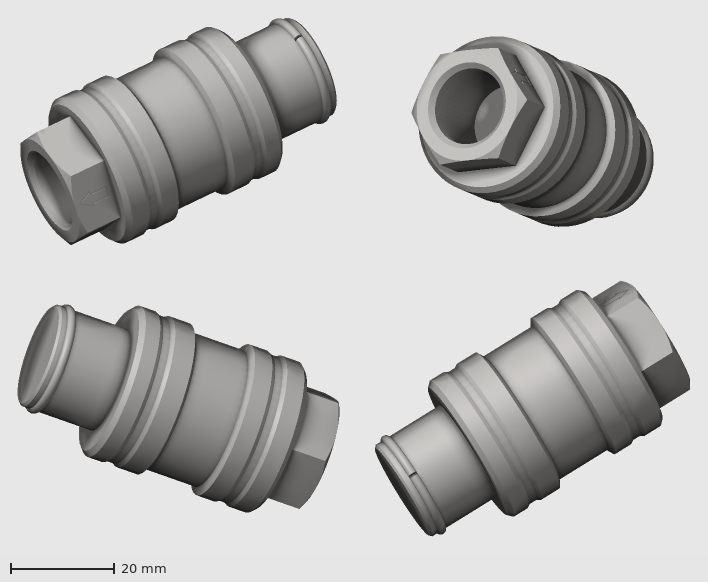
import cadquery as cq
import math

TOTAL_LENGTH = 58.9

HEX_FLATS = 21.9
HEX_LENGTH = 8.4
HEX_CORNER_RADIUS = HEX_FLATS / 2 / math.cos(math.pi / 6)
HEX_CHAMFER_RADIUS = HEX_FLATS / 2
HEX_CHAMFER_DEPTH = (HEX_CORNER_RADIUS - HEX_CHAMFER_RADIUS) * math.tan(math.pi / 6)

BORE_RADIUS = 7.5
BORE_DEPTH = 17.65
BORE_CHAMFER = 1.0

COLLAR_RADIUS = 15.5
COLLAR_LENGTH = 12.25
COLLAR_CHAMFER = 1.0
COLLAR_INNER_TAPER = 0.8
GROOVE_FLOOR_RADIUS = 15.0
GROOVE_FLOOR_LENGTH = 1.55
GROOVE_FLANK_LENGTH = 0.8
FRONT_GROOVE_OFFSET = 4.6
REAR_GROOVE_OFFSET = 4.05
NECK_RADIUS = 14.0
REAR_COLLAR_END = 43.95

SLEEVE_RADIUS = 10.4
SLEEVE_CHAMFER = 0.5

RING_WIRE_RADIUS = 0.95
RING_CENTRE_RADIUS = 10.2
RING_Y = 56.35
RING_GAP = 0.6

ARROW_FLAT_ANGLE = 60.0
ARROW_TAIL_Y = 7.5
ARROW_SHOULDER_Y = 3.9
ARROW_TIP_Y = 0.9
ARROW_SHAFT_WIDTH = 2.35
ARROW_HEAD_WIDTH = 3.75
ARROW_LINE_WIDTH = 0.35
ARROW_DEPTH = 0.1


def revolve_about_y(profile):
    return profile.close().revolve(360, (0, 0, 0), (0, 1, 0))


def collar_points(outer_y, inward, groove_offset):
    """Half profile of a collar as (radius, y), from its outer face toward the neck."""
    groove_end = groove_offset + 2 * GROOVE_FLANK_LENGTH + GROOVE_FLOOR_LENGTH
    steps = [
        (COLLAR_RADIUS - COLLAR_CHAMFER, 0),
        (COLLAR_RADIUS, COLLAR_CHAMFER),
        (COLLAR_RADIUS, groove_offset),
        (GROOVE_FLOOR_RADIUS, groove_offset + GROOVE_FLANK_LENGTH),
        (GROOVE_FLOOR_RADIUS, groove_end - GROOVE_FLANK_LENGTH),
        (COLLAR_RADIUS, groove_end),
        (COLLAR_RADIUS, COLLAR_LENGTH - COLLAR_INNER_TAPER),
        (NECK_RADIUS, COLLAR_LENGTH),
    ]
    return [(radius, outer_y + inward * distance) for radius, distance in steps]


def make_turned_body():
    front_collar = collar_points(HEX_LENGTH, 1, FRONT_GROOVE_OFFSET)
    rear_collar = collar_points(REAR_COLLAR_END, -1, REAR_GROOVE_OFFSET)
    sleeve = [
        (SLEEVE_RADIUS, REAR_COLLAR_END),
        (SLEEVE_RADIUS, TOTAL_LENGTH - SLEEVE_CHAMFER),
        (SLEEVE_RADIUS - SLEEVE_CHAMFER, TOTAL_LENGTH),
        (0, TOTAL_LENGTH),
    ]
    outline = [(0, HEX_LENGTH)] + front_collar + rear_collar[::-1] + sleeve
    return revolve_about_y(cq.Workplane("XY").polyline(outline))


def make_hexagon():
    """Hexagon with flats at +Z and -Z, its corners chamfered at the open end."""
    prism = (
        cq.Workplane("XZ")
        .polygon(6, 2 * HEX_CORNER_RADIUS)
        .extrude(-HEX_LENGTH)
    )
    chamfer_envelope = revolve_about_y(
        cq.Workplane("XY").polyline([
            (0, 0),
            (HEX_CHAMFER_RADIUS, 0),
            (HEX_CORNER_RADIUS, HEX_CHAMFER_DEPTH),
            (HEX_CORNER_RADIUS, HEX_LENGTH),
            (0, HEX_LENGTH),
        ])
    )
    return prism.intersect(chamfer_envelope)


def make_bore():
    return revolve_about_y(
        cq.Workplane("XY").polyline([
            (0, 0),
            (BORE_RADIUS + BORE_CHAMFER, 0),
            (BORE_RADIUS, BORE_CHAMFER),
            (BORE_RADIUS, BORE_DEPTH),
            (0, BORE_DEPTH),
        ])
    )


def arrow_outline():
    """Arrow outline at engraving depth below the top flat, its tip toward the open end."""
    half_shaft = ARROW_SHAFT_WIDTH / 2
    half_head = ARROW_HEAD_WIDTH / 2
    return (
        cq.Workplane("XY")
        .workplane(offset=HEX_FLATS / 2 - ARROW_DEPTH)
        .polyline([
            (-half_shaft, ARROW_TAIL_Y),
            (half_shaft, ARROW_TAIL_Y),
            (half_shaft, ARROW_SHOULDER_Y),
            (half_head, ARROW_SHOULDER_Y),
            (0, ARROW_TIP_Y),
            (-half_head, ARROW_SHOULDER_Y),
            (-half_shaft, ARROW_SHOULDER_Y),
        ])
        .close()
    )


def make_arrow_engraving():
    """Narrow groove following the arrow outline, turned onto its flat."""
    whole_arrow = arrow_outline().extrude(ARROW_DEPTH)
    island = arrow_outline().offset2D(-ARROW_LINE_WIDTH, "intersection").extrude(ARROW_DEPTH)
    return whole_arrow.cut(island).rotate((0, 0, 0), (0, 1, 0), ARROW_FLAT_ANGLE)


def make_full_ring():
    return (
        cq.Workplane("XY")
        .center(RING_CENTRE_RADIUS, RING_Y)
        .circle(RING_WIRE_RADIUS)
        .revolve(360, (-RING_CENTRE_RADIUS, 0, 0), (-RING_CENTRE_RADIUS, 1, 0))
    )


def make_housing():
    """Turned body with its hexagon end, bore, arrow and the seat of the snap ring."""
    return (
        make_turned_body()
        .union(make_hexagon())
        .cut(make_bore())
        .cut(make_arrow_engraving())
        .cut(make_full_ring())
    )


def make_snap_ring():
    """Round-wire ring with a narrow gap at the top."""
    wire_diameter = 2 * RING_WIRE_RADIUS
    gap = (
        cq.Workplane("XY")
        .box(RING_GAP, 2 * wire_diameter, 2 * wire_diameter)
        .translate((0, RING_Y, RING_CENTRE_RADIUS))
    )
    return make_full_ring().cut(gap)


housing = make_housing()
snap_ring = make_snap_ring()

result = cq.Compound.makeCompound([housing.val(), snap_ring.val()])